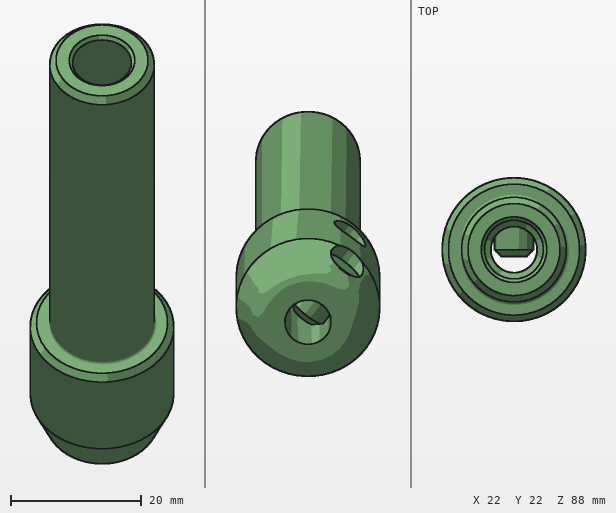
import cadquery as cq
import math

total_height = 88.0
collar_height = 25.0
collar_radius = 11.0
collar_chamfer = 1.0
shank_radius = 8.0
shank_chamfer = 1.0
neck_fillet = 0.5

nose_height = 8.0
nose_angle = 20.0
nose_fillet = 3.0
nose_radius = collar_radius - nose_height * math.tan(math.radians(nose_angle))

upper_bore_radius = 4.5
lower_bore_radius = 3.5
mouth_chamfer = 0.5
step_angle = 59.0
step_height = (upper_bore_radius - lower_bore_radius) / math.tan(math.radians(step_angle))

screw_radius = 3.0
screw_length = 10.0
screw_tip_y = -1.1
tip_chamfer = 1.1
screw_heights = (6.0, 19.2)


def make_outer_form():
    """Collar and shank as one turned form, before drilling."""
    fillet_centre_radius = shank_radius + neck_fillet
    fillet_centre_height = collar_height + neck_fillet
    arc_offset = neck_fillet * math.sqrt(0.5)
    return (
        cq.Workplane("XZ")
        .moveTo(0, 0)
        .lineTo(nose_radius, 0)
        .lineTo(collar_radius, nose_height)
        .lineTo(collar_radius, collar_height - collar_chamfer)
        .lineTo(collar_radius - collar_chamfer, collar_height)
        .lineTo(fillet_centre_radius, collar_height)
        .threePointArc(
            (fillet_centre_radius - arc_offset, fillet_centre_height - arc_offset),
            (shank_radius, fillet_centre_height),
        )
        .lineTo(shank_radius, total_height - shank_chamfer)
        .lineTo(shank_radius - shank_chamfer, total_height)
        .lineTo(0, total_height)
        .close()
        .revolve(360, (0, 0, 0), (0, 1, 0))
        .faces("<Z")
        .edges()
        .fillet(nose_fillet)
    )


def make_bore():
    """Stepped through bore with a conical step and a chamfered mouth."""
    return (
        cq.Workplane("XZ")
        .moveTo(0, 0)
        .lineTo(lower_bore_radius, 0)
        .lineTo(lower_bore_radius, collar_height)
        .lineTo(upper_bore_radius, collar_height + step_height)
        .lineTo(upper_bore_radius, total_height - mouth_chamfer)
        .lineTo(upper_bore_radius + mouth_chamfer, total_height)
        .lineTo(0, total_height)
        .close()
        .revolve(360, (0, 0, 0), (0, 1, 0))
    )


def make_screw_hole(height):
    """Radial hole from the bore axis out through the +Y side."""
    return cq.Workplane(
        cq.Solid.makeCylinder(screw_radius, collar_radius, cq.Vector(0, 0, height), cq.Vector(0, 1, 0))
    )


def make_holder():
    holder = make_outer_form().cut(make_bore())
    for height in screw_heights:
        holder = holder.cut(make_screw_hole(height))
    return holder


def make_set_screw(height):
    """Plain screw body along Y, with a chamfered tip reaching into the bore."""
    tip_radius = screw_radius - tip_chamfer
    screw_end_y = screw_tip_y + screw_length
    return (
        cq.Workplane("XY")
        .moveTo(0, screw_tip_y)
        .lineTo(tip_radius, screw_tip_y)
        .lineTo(screw_radius, screw_tip_y + tip_chamfer)
        .lineTo(screw_radius, screw_end_y)
        .lineTo(0, screw_end_y)
        .close()
        .revolve(360, (0, 0, 0), (0, 1, 0))
        .translate((0, 0, height))
    )


holder = make_holder()
set_screws = [make_set_screw(height).val() for height in screw_heights]

result = cq.Compound.makeCompound([holder.solids().val(), *set_screws])